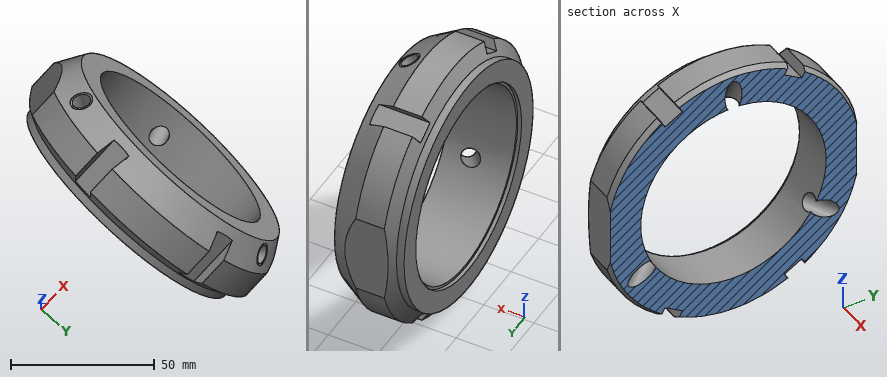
import cadquery as cq
import math

outer_diameter = 105.0
collar_diameter = 94.0
bore_diameter = 75.0
bore_mouth_diameter = 77.0
bore_mouth_depth = 1.5
width = 28.0
collar_width = 3.0
rim_end = 17.6
front_cone_angle = 60.0
rear_cone_angle = 30.0

across_flats = 100.0

slot_width = 8.0
slot_floor_distance = 48.5
slot_angles = (30.0, 150.0, 210.0, 330.0)

screw_diameter = 6.6
screw_mouth_diameter = 8.1
screw_mouth_depth = 0.2
screw_x = 23.6
screw_count = 3

outer_radius = outer_diameter / 2
collar_radius = collar_diameter / 2
bore_radius = bore_diameter / 2
rear_slope = math.tan(math.radians(rear_cone_angle))


def rear_cone_radius(x):
    return outer_radius - (x - rim_end) * rear_slope


def ring_body():
    """Revolved ring with a shallow counterbore at the bore mouth."""
    front_cone_width = (outer_radius - collar_radius) / math.tan(math.radians(front_cone_angle))
    mouth_radius = bore_mouth_diameter / 2
    return (
        cq.Workplane("XY")
        .moveTo(0, mouth_radius)
        .lineTo(0, collar_radius)
        .lineTo(collar_width, collar_radius)
        .lineTo(collar_width + front_cone_width, outer_radius)
        .lineTo(rim_end, outer_radius)
        .lineTo(width, rear_cone_radius(width))
        .lineTo(width, bore_radius)
        .lineTo(bore_mouth_depth, bore_radius)
        .lineTo(bore_mouth_depth, mouth_radius)
        .close()
        .revolve(360, (0, 0, 0), (1, 0, 0))
    )


def flats_envelope():
    """Block whose Y faces trim the ring to its wrench flats."""
    return cq.Workplane("XY").box(width, across_flats, outer_diameter).translate((width / 2, 0, 0))


def spanner_slot(angle):
    """Flat-floored slot running along X through the rim."""
    slot = cq.Workplane("XY").box(
        width, slot_width, outer_radius - slot_floor_distance, centered=(False, True, False)
    )
    return slot.translate((0, 0, slot_floor_distance)).rotate((0, 0, 0), (1, 0, 0), angle)


def screw_hole(angle):
    """Spot-faced hole square to the rear cone, opening into the bore."""
    tilt = math.radians(rear_cone_angle)
    entry_radius = rear_cone_radius(screw_x)
    inward = cq.Vector(-math.sin(tilt), 0, -math.cos(tilt))
    entry = cq.Vector(screw_x, 0, entry_radius)
    overrun = screw_diameter
    wall_length = (entry_radius - bore_radius) / math.cos(tilt)
    drill = cq.Solid.makeCylinder(
        screw_diameter / 2, wall_length + 2 * overrun, entry - inward * overrun, inward
    )
    spot_face = cq.Solid.makeCylinder(
        screw_mouth_diameter / 2, overrun + screw_mouth_depth, entry - inward * overrun, inward
    )
    return cq.Workplane(drill.fuse(spot_face)).rotate((0, 0, 0), (1, 0, 0), angle)


result = ring_body().intersect(flats_envelope())
for slot_angle in slot_angles:
    result = result.cut(spanner_slot(slot_angle))
for index in range(screw_count):
    result = result.cut(screw_hole(index * 360 / screw_count))